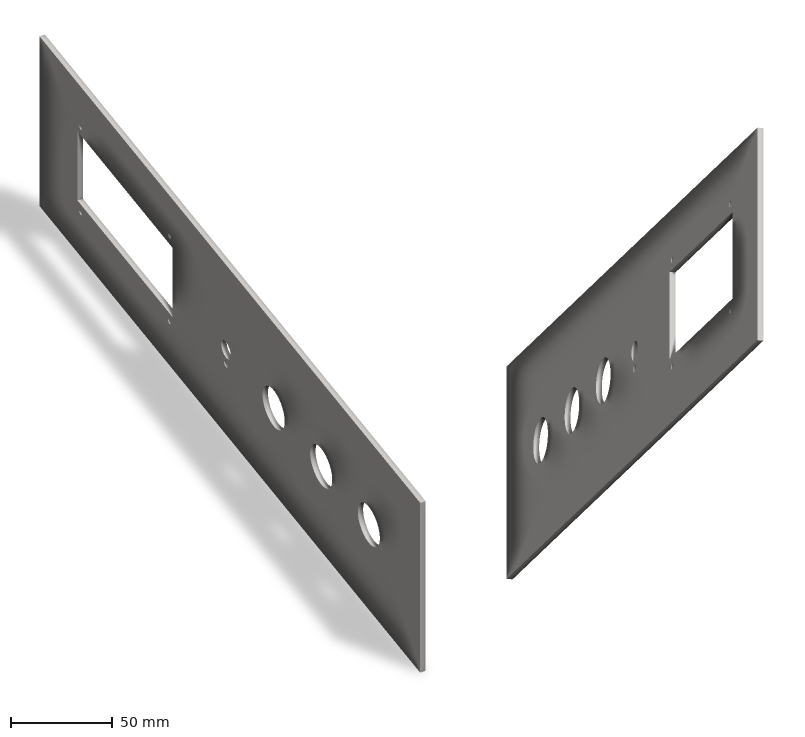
import cadquery as cq

plate_length = 400
plate_thickness = 3.0
plate_height = 110.0

window_width = 100
window_height = 45.0
window_x = -110.0
window_z = 1.0
screw_diameter = 3.0
screw_spacing_x = 93.0
screw_spacing_z = 55.0

row_z = 0
row_pitch = 50.0
large_diameter = 23.0
large_count = 3
first_large_x = 46.0
small_diameter = 10.0
small_x = first_large_x - row_pitch

locating_diameter = 4
locating_drop = 9.0


def through_cutter(sketch):
    """Extrude a centred sketch through the whole plate thickness."""
    return sketch.extrude(plate_thickness, both=True)


def round_holes(points, diameter):
    return through_cutter(cq.Workplane("XZ").pushPoints(points).circle(diameter / 2))


plate = cq.Workplane("XY").box(plate_length, plate_thickness, plate_height)

window = through_cutter(
    cq.Workplane("XZ").center(window_x, window_z).rect(window_width, window_height)
)

screw_points = [
    (window_x + side_x * screw_spacing_x / 2, window_z + side_z * screw_spacing_z / 2)
    for side_x in (-1, 1)
    for side_z in (-1, 1)
]
large_points = [(first_large_x + i * row_pitch, row_z) for i in range(large_count)]

result = (
    plate.cut(window)
    .cut(round_holes(screw_points, screw_diameter))
    .cut(round_holes(large_points, large_diameter))
    .cut(round_holes([(small_x, row_z)], small_diameter))
    .cut(round_holes([(small_x, row_z - locating_drop)], locating_diameter))
)